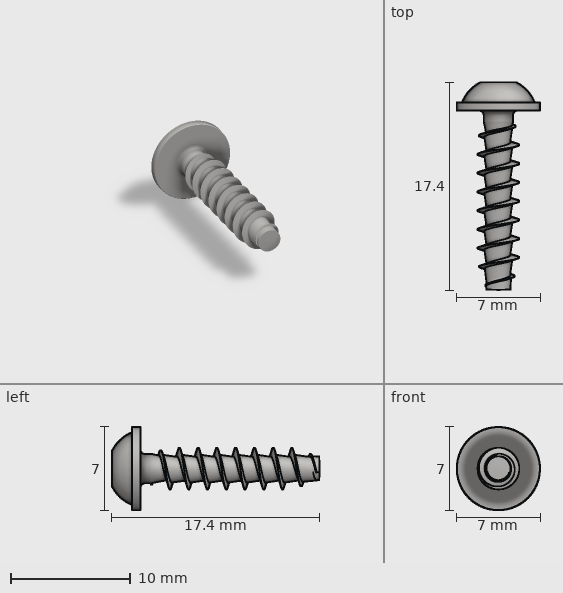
import cadquery as cq
import math

shank_length = 15.0
head_height = 2.4

flange_diameter = 7.0
flange_thickness = 0.72
flange_edge_chamfer = 0.04
dome_base_diameter = 6.1
dome_top_diameter = 3.0
dome_bulge = 0.2

neck_diameter = 2.48
neck_fillet = 0.34
neck_end_depth = 0.89
neck_taper_end_depth = 2.0
core_diameter = 2.02
tip_diameter = 1.92
tip_taper_length = 0.6
tip_cone_height = 0.04

pitch = 1.57
thread_diameter = 3.5
crest_width = 0.03
flank_angle = 15.0
root_rise = 0.17
bare_core = 0.03
embed = 0.06
root_dip = 0.003
thread_start_depth = 0.89
thread_start_angle = 270.0
start_crest_radius = 1.36
run_in_turns = 1.0
full_turns = 6.5
run_out_turns = 1.3
end_crest_radius = 1.08
full_root_fullness = 1.0
end_root_fullness = 0.0
points_per_turn = 16

core_radius = core_diameter / 2
thread_radius = thread_diameter / 2


def make_body():
    """Head, neck, core and tip as one revolved outline in (radius, Y)."""
    flange_radius = flange_diameter / 2
    dome_base = dome_base_diameter / 2
    dome_top = dome_top_diameter / 2
    neck_radius = neck_diameter / 2
    dome_dr = dome_base - dome_top
    dome_dy = head_height - flange_thickness
    chord = math.hypot(dome_dr, dome_dy)
    dome_middle = (
        (dome_base + dome_top) / 2 + dome_bulge * dome_dy / chord,
        (flange_thickness + head_height) / 2 + dome_bulge * dome_dr / chord,
    )
    fillet_offset = neck_fillet * (1 - math.sqrt(0.5))
    outline = (
        cq.Workplane("ZY")
        .moveTo(0, head_height)
        .lineTo(dome_top, head_height)
        .threePointArc(dome_middle, (dome_base, flange_thickness))
        .lineTo(flange_radius - flange_edge_chamfer, flange_thickness)
        .lineTo(flange_radius, flange_thickness - flange_edge_chamfer)
        .lineTo(flange_radius, flange_edge_chamfer)
        .lineTo(flange_radius - flange_edge_chamfer, 0)
        .lineTo(neck_radius + neck_fillet, 0)
        .threePointArc((neck_radius + fillet_offset, -fillet_offset), (neck_radius, -neck_fillet))
        .lineTo(neck_radius, -neck_end_depth)
        .lineTo(core_radius, -neck_taper_end_depth)
        .lineTo(core_radius, tip_taper_length - shank_length)
        .lineTo(tip_diameter / 2, tip_cone_height - shank_length)
        .lineTo(0, -shank_length)
        .close()
    )
    return outline.revolve(360, (0, 0, 0), (0, 1, 0))


def thread_profile(crest_radius, crest_depth, root_fullness):
    """Corners (radius, depth) of one flight and the sloping root on its tip side."""
    base_radius = core_radius - embed
    slope = math.tan(math.radians(flank_angle))
    root_radius = core_radius + root_rise * root_fullness
    head_side = crest_depth - crest_width / 2
    tip_side = crest_depth + crest_width / 2
    root_start = tip_side + (crest_radius - root_radius) * slope
    full_root_radius = core_radius + root_rise * full_root_fullness
    flight_width = crest_width + (2 * thread_radius - core_radius - full_root_radius) * slope
    root_end = root_start + pitch - flight_width - bare_core
    return [
        (base_radius, head_side - (crest_radius - base_radius) * slope),
        (crest_radius, head_side),
        (crest_radius, tip_side),
        (root_radius, root_start),
        (core_radius - root_dip, root_end),
        (base_radius, root_end - embed),
    ]


def conical_helix(start, end, turns, start_angle):
    """Smooth helix about +Z from one (radius, height) to another."""
    steps = math.ceil(turns * points_per_turn)
    points = []
    for step in range(steps + 1):
        fraction = step / steps
        radius = start[0] + fraction * (end[0] - start[0])
        height = start[1] + fraction * (end[1] - start[1])
        angle = math.radians(start_angle + fraction * turns * 360)
        points.append(cq.Vector(radius * math.cos(angle), radius * math.sin(angle), height))
    return cq.Edge.makeSpline(points)


def section_cap(profile, angle):
    """Flat end face of the thread, turned about +Z to its angle."""
    points = [cq.Vector(radius, 0, depth) for radius, depth in profile]
    cap = cq.Face.makeFromWires(cq.Wire.makePolygon(points, close=True))
    return cap.rotate(cq.Vector(), cq.Vector(0, 0, 1), angle)


def make_thread():
    """Run-in, full and run-out stretches joined into one solid, cut off at the tip."""
    stretches = [
        (run_in_turns, thread_radius, full_root_fullness),
        (full_turns, thread_radius, full_root_fullness),
        (run_out_turns, end_crest_radius, end_root_fullness),
    ]
    angle = thread_start_angle
    depth = thread_start_depth
    profile = thread_profile(start_crest_radius, depth, full_root_fullness)
    faces = [section_cap(profile, angle)]
    for turns, crest_radius, root_fullness in stretches:
        depth += turns * pitch
        next_profile = thread_profile(crest_radius, depth, root_fullness)
        helices = [conical_helix(a, b, turns, angle) for a, b in zip(profile, next_profile)]
        for index, helix in enumerate(helices):
            faces.append(cq.Face.makeRuledSurface(helices[index - 1], helix))
        profile = next_profile
        angle += turns * 360
    faces.append(section_cap(profile, angle))
    thread = cq.Solid.makeSolid(cq.Shell.makeShell(faces))
    tip_limit = cq.Workplane("XY").circle(flange_diameter / 2).extrude(shank_length - tip_cone_height)
    thread = cq.Workplane(obj=thread).intersect(tip_limit)
    return thread.rotate((0, 0, 0), (1, 0, 0), 90)


result = make_body().union(make_thread())